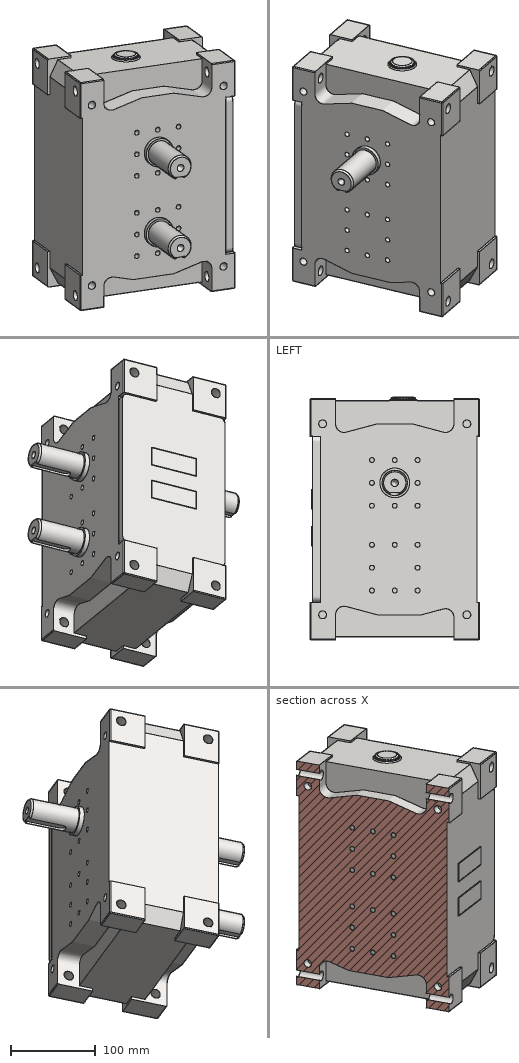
import cadquery as cq
import math

BODY_X = 138.7
FEET_Y = 200.0
FEET_Z = 284.0
OVERALL_X = 270.0
OVERALL_Z = 286.0

FOOT_STEP = 3.0
TOP_STEP = 2.3
BOTTOM_STEP = 3.7
BODY_Y = FEET_Y - 2 * FOOT_STEP
BODY_TOP = FEET_Z / 2 - TOP_STEP
BODY_BOTTOM = BOTTOM_STEP - FEET_Z / 2

BEVEL_Y = 10.3
BEVEL_Z = 20.0

FOOT_X = 44.5
FOOT_Y = 30.3
FOOT_Z = 44.3
FOOT_CHAMFER = 1.1

MOUNT_HOLE_D = 11.7
MOUNT_HOLE_X = 55.0
MOUNT_HOLE_Z = 127.3
SIDE_HOLE_D = 9.2
SIDE_HOLE_Y = 85.0
SIDE_HOLE_Z = 112.5
SIDE_HOLE_DEPTH = 20.0

POCKET_DEPTH = 27.7
POCKET_HALF_Y = FEET_Y / 2 - FOOT_Y
POCKET_FLAT_Z = 112.5
POCKET_FLAT_HALF_Y = 20.5
POCKET_LONG_FLAT_Y = 31.5
POCKET_SLOPE = 15.0
POCKET_CORNER_R = 10.0
POCKET_LEDGE_Y = 57.2

SHAFT_R = 15.0
SHAFT_END_CHAMFER_X = 2.5
SHAFT_END_CHAMFER_R = 1.7
COLLAR_R = 17.5
COLLAR_LENGTH = 5.7
UPPER_SHAFT_Z = 43.0
LOWER_SHAFT_Z = -57.0
KEYWAY_WIDTH = 11.0
KEYWAY_FLOOR_R = 11.2
KEYWAY_END_X = 86.5
CENTRE_HOLE_D = 8.5
CENTRE_HOLE_DEPTH = 7.2

COVER_BOLT_PITCH = 27.0
COVER_BOLT_D = 5.7
COVER_BOLT_DEPTH = 10.0

BACK_PLATE_THICKNESS = 9.5
BACK_PLATE_INSET = 0.3
BACK_PLATE_CORNER_R = 6.5
LABEL_X = 60.0
LABEL_Z = 23.0
LABEL_THICKNESS = 1.1
LABEL_CENTRES_Z = (23.7, -19.7)

PLUG_Y = -10.0
PLUG_FLANGE_R = 17.0
PLUG_FLANGE_TOP_R = 15.5
PLUG_FLANGE_HEIGHT = 1.5
PLUG_CAP_R = 14.3
PLUG_CAP_TOP_R = 11.5
PLUG_CAP_BEVEL = 1.1
PLUG_GROOVES = 24
PLUG_GROOVE_D = 1.5


def block(x0, x1, y0, y1, z0, z1):
    """Box between two opposite corners."""
    return cq.Workplane("XY").box(x1 - x0, y1 - y0, z1 - z0, centered=False).translate((x0, y0, z0))


def cylinder_x(radius, x0, x1, y, z):
    """Cylinder along X from x0 to x1."""
    return cq.Workplane("YZ", origin=(x0, 0, 0)).center(y, z).circle(radius).extrude(x1 - x0)


def body_block():
    body = block(-BODY_X / 2, BODY_X / 2, -BODY_Y / 2, BODY_Y / 2, BODY_BOTTOM, BODY_TOP)
    for sy in (-1, 1):
        edge_y = sy * BODY_Y / 2
        for edge_z, into in ((BODY_TOP, -1), (BODY_BOTTOM, 1)):
            corner = [
                (edge_y, edge_z),
                (edge_y - sy * BEVEL_Y, edge_z),
                (edge_y, edge_z + into * BEVEL_Z),
            ]
            wedge = cq.Workplane("YZ").polyline(corner).close().extrude(BODY_X, both=True)
            body = body.cut(wedge)
    return body


def back_plate_gap():
    """Margin round the rounded back plate on the +Y face, between the feet."""
    y0 = BODY_Y / 2 - BACK_PLATE_THICKNESS
    half_z = FEET_Z / 2 - FOOT_Z
    around = block(-BODY_X, BODY_X, y0, BODY_Y / 2, -half_z, half_z)
    half_x = BODY_X / 2 - BACK_PLATE_INSET
    plate = block(-half_x, half_x, y0, BODY_Y / 2, -half_z, half_z)
    return around.cut(plate.edges("|Y").fillet(BACK_PLATE_CORNER_R))


def foot():
    """Corner foot at +X, +Y, +Z."""
    x1, y1, z1 = BODY_X / 2, FEET_Y / 2, FEET_Z / 2
    pad = block(x1 - FOOT_X, x1, y1 - FOOT_Y, y1, z1 - FOOT_Z, z1)
    outer_edges = "(>X and >Y) or (>X and >Z) or (>Y and >Z)"
    return pad.edges(outer_edges).chamfer(FOOT_CHAMFER)


def feet():
    corner = foot()
    pair = corner.union(corner.mirror("YZ"))
    four = pair.union(pair.mirror("XZ"))
    return four.union(four.mirror("XY"))


def side_pocket(minus_y_flat, upward, with_ledge):
    """Pocket solid on the -X face, open at the top (upward=1) or bottom (-1).

    The floor slopes down from its level middle part to the rounded corners;
    with a ledge it turns level again just before each corner.
    """
    tan_slope = math.tan(math.radians(POCKET_SLOPE))
    slope_end = POCKET_LEDGE_Y if with_ledge else POCKET_HALF_Y
    plus_z = POCKET_FLAT_Z - (slope_end - POCKET_FLAT_HALF_Y) * tan_slope
    minus_z = POCKET_FLAT_Z - (slope_end - minus_y_flat) * tan_slope
    outline = [
        (POCKET_HALF_Y, FEET_Z),
        (POCKET_HALF_Y, plus_z),
        (POCKET_FLAT_HALF_Y, POCKET_FLAT_Z),
        (-minus_y_flat, POCKET_FLAT_Z),
        (-POCKET_HALF_Y, minus_z),
        (-POCKET_HALF_Y, FEET_Z),
    ]
    if with_ledge:
        outline.insert(4, (-slope_end, minus_z))
        outline.insert(2, (slope_end, plus_z))
    points = [(y, upward * z) for y, z in outline]
    x0 = -BODY_X / 2
    pocket = cq.Workplane("YZ", origin=(x0, 0, 0)).polyline(points).close().extrude(POCKET_DEPTH)
    low_side = "<Z" if upward > 0 else ">Z"
    for side in (">Y", "<Y"):
        pocket = pocket.faces(side).edges("|X").edges(low_side).fillet(POCKET_CORNER_R)
    return pocket


def shaft_end(z):
    """Collar, shaft, keyway and centre hole projecting from the -X face."""
    tip = -OVERALL_X / 2
    face = -BODY_X / 2
    profile = [
        (face, 0),
        (face, COLLAR_R),
        (face - COLLAR_LENGTH, COLLAR_R),
        (face - COLLAR_LENGTH, SHAFT_R),
        (tip + SHAFT_END_CHAMFER_X, SHAFT_R),
        (tip, SHAFT_R - SHAFT_END_CHAMFER_R),
        (tip, 0),
    ]
    shaft = cq.Workplane("XZ").polyline(profile).close().revolve(360, (0, 0, 0), (1, 0, 0))
    slot_middle = -KEYWAY_END_X - KEYWAY_WIDTH / 2
    floor = -KEYWAY_FLOOR_R
    keyway = block(tip, slot_middle, -KEYWAY_WIDTH / 2, KEYWAY_WIDTH / 2, -SHAFT_R, floor)
    rounded_end = cq.Workplane("XY", origin=(slot_middle, 0, -SHAFT_R))
    keyway = keyway.union(rounded_end.circle(KEYWAY_WIDTH / 2).extrude(SHAFT_R + floor))
    cone = cq.Solid.makeCone(
        CENTRE_HOLE_D / 2, 0, CENTRE_HOLE_DEPTH, cq.Vector(tip, 0, 0), cq.Vector(1, 0, 0))
    return shaft.cut(keyway).cut(cone).translate((0, 0, z))


def side_holes():
    """Blind holes in the -X face: one in each foot and eight round each shaft axis."""
    face = -BODY_X / 2
    holes = cq.Workplane("XY")
    for sy in (-1, 1):
        for sz in (-1, 1):
            holes = holes.add(cylinder_x(
                SIDE_HOLE_D / 2, face, face + SIDE_HOLE_DEPTH, sy * SIDE_HOLE_Y, sz * SIDE_HOLE_Z))
    for axis_z in (UPPER_SHAFT_Z, LOWER_SHAFT_Z):
        for row in (-1, 0, 1):
            for column in (-1, 0, 1):
                if row == 0 and column == 0:
                    continue
                holes = holes.add(cylinder_x(
                    COVER_BOLT_D / 2, face, face + COVER_BOLT_DEPTH,
                    column * COVER_BOLT_PITCH, axis_z + row * COVER_BOLT_PITCH))
    return holes.combine()


def mount_holes():
    """Holes along Y through the feet."""
    holes = cq.Workplane("XZ").rect(2 * MOUNT_HOLE_X, 2 * MOUNT_HOLE_Z, forConstruction=True)
    return holes.vertices().circle(MOUNT_HOLE_D / 2).extrude(FEET_Y, both=True)


def labels():
    """Two raised rectangular plates on the +Y face."""
    plates = cq.Workplane("XY")
    for z in LABEL_CENTRES_Z:
        plates = plates.add(block(
            -LABEL_X / 2, LABEL_X / 2, BODY_Y / 2 - LABEL_THICKNESS, BODY_Y / 2 + LABEL_THICKNESS,
            z - LABEL_Z / 2, z + LABEL_Z / 2))
    return plates.combine()


def filler_plug():
    """Low plug on the top face: conical flange and a grooved, bevelled cap."""
    height = OVERALL_Z - FEET_Z / 2 - BODY_TOP
    profile = [
        (0, 0),
        (PLUG_FLANGE_R, 0),
        (PLUG_FLANGE_TOP_R, PLUG_FLANGE_HEIGHT),
        (PLUG_CAP_R, PLUG_FLANGE_HEIGHT),
        (PLUG_CAP_R, height - PLUG_CAP_BEVEL),
        (PLUG_CAP_TOP_R, height),
        (0, height),
    ]
    plug = cq.Workplane("XZ").polyline(profile).close().revolve(360, (0, 0, 0), (0, 1, 0))
    grooves = (
        cq.Workplane("XY", origin=(0, 0, PLUG_FLANGE_HEIGHT))
        .polarArray(PLUG_CAP_R, 0, 360, PLUG_GROOVES)
        .circle(PLUG_GROOVE_D / 2)
        .extrude(height)
    )
    return plug.cut(grooves).translate((0, PLUG_Y, BODY_TOP))


result = body_block().cut(back_plate_gap()).union(feet())

for minus_y_flat, upward in ((POCKET_FLAT_HALF_Y, 1), (POCKET_LONG_FLAT_Y, -1)):
    result = result.cut(side_pocket(minus_y_flat, upward, with_ledge=False))
    result = result.cut(side_pocket(minus_y_flat, upward, with_ledge=True).mirror("YZ"))

holes_in_side = side_holes()
result = result.cut(holes_in_side).cut(holes_in_side.mirror("YZ")).cut(mount_holes())

upper_shaft = shaft_end(UPPER_SHAFT_Z)
result = result.union(upper_shaft).union(upper_shaft.mirror("YZ"))
result = result.union(shaft_end(LOWER_SHAFT_Z).mirror("YZ"))
result = result.union(labels()).union(filler_plug())